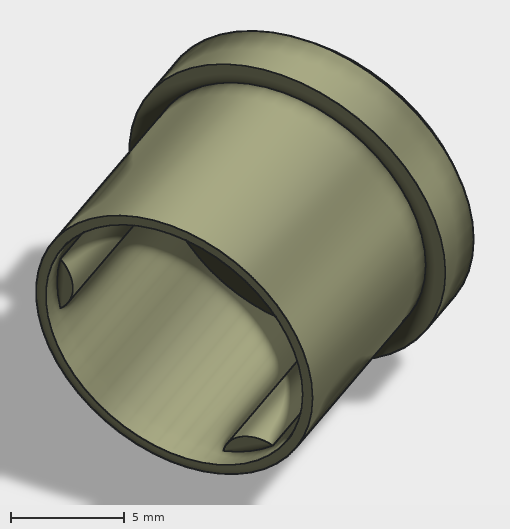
import cadquery as cq
import math

flange_diameter = 16.0
sleeve_diameter = 14.0
bore_diameter = 13.0
flange_thickness = 3.0
sleeve_length = 10.0
flange_chamfer = 0.5
total_length = flange_thickness + sleeve_length

rib_count = 3
rib_radius = 2.0
rib_axis_distance = 7.7
rib_recess = 1.0
rib_length = sleeve_length - rib_recess


def cylinder(diameter, start, length):
    """Cylinder on the Y axis, running toward +Y from the distance start."""
    plane = cq.Workplane("XZ", origin=(0, start, 0))
    return plane.circle(diameter / 2).extrude(-length)


def make_shell():
    sleeve = cylinder(sleeve_diameter, 0, sleeve_length)
    flange = cylinder(flange_diameter, sleeve_length, flange_thickness)
    flange = flange.faces(">Y").edges().chamfer(flange_chamfer)
    bore = cylinder(bore_diameter, 0, sleeve_length)
    return sleeve.union(flange).cut(bore)


def make_ribs():
    ribs = cq.Workplane("XZ", origin=(0, rib_recess, 0))
    for index in range(rib_count):
        angle = math.pi + 2 * math.pi * index / rib_count
        ribs = ribs.moveTo(rib_axis_distance * math.cos(angle), rib_axis_distance * math.sin(angle))
        ribs = ribs.circle(rib_radius)
    ribs = ribs.extrude(-rib_length)
    wall_middle_diameter = (sleeve_diameter + bore_diameter) / 2
    return ribs.intersect(cylinder(wall_middle_diameter, 0, total_length))


result = make_shell().union(make_ribs())